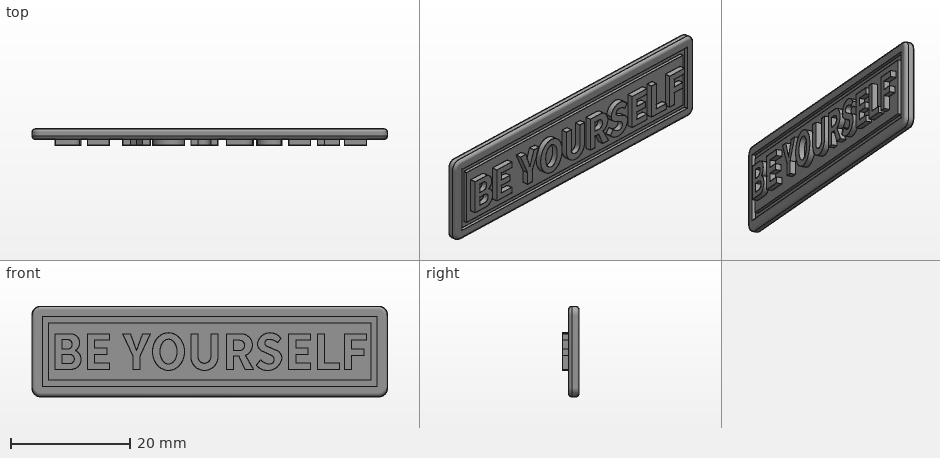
import cadquery as cq

plate_length = 59.7
plate_height = 15.2
layer_depth = 0.6
plate_depth = 3 * layer_depth
corner_radius = 1.5
edge_radius = layer_depth

frame_width = 1.75
groove_width = 1.1
panel_inset = frame_width + groove_width

letter_depth = 1.0
cap_height = 5.95
stem = 1.2
bar = 1.1
overshoot = 0.2
e_arm_height = 2.5
f_arm_height = 2.3

front_y = 0.0
groove_floor_y = front_y + layer_depth


def centred_block(length, height, near_y, far_y):
    """Rectangular block centred on X and Z, between two depths."""
    block = cq.Workplane("XY").box(length, far_y - near_y, height)
    return block.translate((0, (near_y + far_y) / 2, 0))


def rounded_plate():
    """The outer shape of the backing and frame together."""
    block = centred_block(plate_length, plate_height, front_y, plate_depth)
    return block.edges("|Y").fillet(corner_radius).faces("<Y or >Y").edges().fillet(edge_radius)


def make_backing():
    """The back two layers, whose front face is the floor of the groove."""
    back_layers = centred_block(plate_length, plate_height, groove_floor_y, plate_depth)
    return rounded_plate().intersect(back_layers)


def make_frame():
    """The rim around the front layer."""
    front_layer = centred_block(plate_length, plate_height, front_y, groove_floor_y)
    opening = centred_block(
        plate_length - 2 * frame_width, plate_height - 2 * frame_width, front_y, groove_floor_y
    )
    return rounded_plate().intersect(front_layer).cut(opening)


def sketch_at(x, z):
    """Sketch plane on the panel front, with the origin at x and at z above the baseline."""
    return cq.Workplane("XZ", origin=(x, front_y, z - cap_height / 2))


def stroke(x, z, width, height):
    """Straight upright or level stroke with its lower left corner at x, z."""
    return sketch_at(x, z).rect(width, height, centered=False).extrude(letter_depth)


def bowl(x, z, width, height):
    """Block with a half-round right end."""
    radius = height / 2
    outline = sketch_at(x, z).lineTo(width - radius, 0)
    outline = outline.threePointArc((width, radius), (width - radius, height))
    return outline.lineTo(0, height).close().extrude(letter_depth)


def letter_b(x):
    waist_height = 2.9
    body = bowl(x, 0, 4.35, 3.35).union(bowl(x, waist_height, 4.1, cap_height - waist_height))
    upper_counter = bowl(x + stem, 3.4, 1.7, 1.6)
    lower_counter = bowl(x + stem, 0.95, 2.0, 1.55)
    return body.cut(upper_counter).cut(lower_counter)


def letter_f(x, middle_height):
    top_arm = stroke(x, cap_height - bar, 3.7, bar)
    middle_arm = stroke(x, middle_height, 3.3, bar)
    return stroke(x, 0, stem, cap_height).union(top_arm).union(middle_arm)


def letter_l(x):
    return stroke(x, 0, stem, cap_height).union(stroke(x, 0, 3.7, bar))


def letter_e(x):
    return letter_f(x, e_arm_height).union(letter_l(x))


def letter_y(x):
    half_width = 2.3
    half_stem = stem / 2
    right_side = [(half_stem, 0), (half_stem, 2.25), (half_width, cap_height), (1.0, cap_height)]
    left_side = [(-across, up) for across, up in reversed(right_side)]
    return sketch_at(x, 0).polyline(right_side + [(0, 3.15)] + left_side).close().extrude(letter_depth)


def letter_o(x):
    outside = sketch_at(x, cap_height / 2).ellipse(2.7, cap_height / 2 + overshoot)
    return outside.ellipse(1.45, 2.1).extrude(letter_depth)


def letter_u(x):
    outer_radius = 2.25
    inner_radius = outer_radius - stem
    straight_height = cap_height + overshoot - outer_radius
    outline = sketch_at(x, cap_height).moveTo(-outer_radius, 0).vLine(-straight_height)
    outline = outline.threePointArc(
        (0, -straight_height - outer_radius), (outer_radius, -straight_height)
    )
    outline = outline.vLineTo(0).hLine(-stem).vLineTo(-straight_height)
    outline = outline.threePointArc(
        (0, -straight_height - inner_radius), (-inner_radius, -straight_height)
    )
    return outline.vLineTo(0).close().extrude(letter_depth)


def letter_r(x):
    head_bottom = 2.2
    counter = bowl(x + stem, 3.15, 1.85, 1.75)
    head = bowl(x, head_bottom, 4.35, cap_height - head_bottom).cut(counter)
    leg = sketch_at(x, 0).polyline([(3.1, 0), (4.55, 0), (3.1, 2.5), (2.1, head_bottom)])
    return head.union(stroke(x, 0, stem, cap_height)).union(leg.close().extrude(letter_depth))


def letter_s(x):
    outline = sketch_at(x, 0).moveTo(1.95, 5.2)
    outline = outline.threePointArc((0.25, cap_height + overshoot), (-1.95, 4.25))
    outline = outline.threePointArc((-1.6, 3.4), (-0.85, 2.9)).lineTo(0.4, 2.3)
    outline = outline.threePointArc((0.85, 1.55), (0.1, 0.9))
    outline = outline.threePointArc((-0.7, 1.1), (-1.45, 1.6)).lineTo(-2.15, 0.7)
    outline = outline.threePointArc((0, -overshoot), (2.15, 1.85))
    outline = outline.threePointArc((1.8, 2.8), (1.0, 3.3)).lineTo(-0.35, 3.9)
    outline = outline.threePointArc((-0.7, 4.4), (0, 5.0))
    return outline.threePointArc((0.8, 4.9), (1.45, 4.5)).close().extrude(letter_depth)


def make_panel():
    """The panel inside the groove, with the raised words BE YOURSELF as part of it."""
    panel = centred_block(
        plate_length - 2 * panel_inset, plate_height - 2 * panel_inset, front_y, groove_floor_y
    )
    letters = [
        letter_b(-25.95),
        letter_e(-20.55),
        letter_y(-12.3),
        letter_o(-6.9),
        letter_u(-0.9),
        letter_r(2.8),
        letter_s(9.95),
        letter_e(13.25),
        letter_l(18.1),
        letter_f(22.6, f_arm_height),
    ]
    for letter in letters:
        panel = panel.union(letter)
    return panel


backing = make_backing()
frame = make_frame()
panel = make_panel()

result = cq.Compound.makeCompound(
    [backing.solids().val(), frame.solids().val(), panel.solids().val()]
)